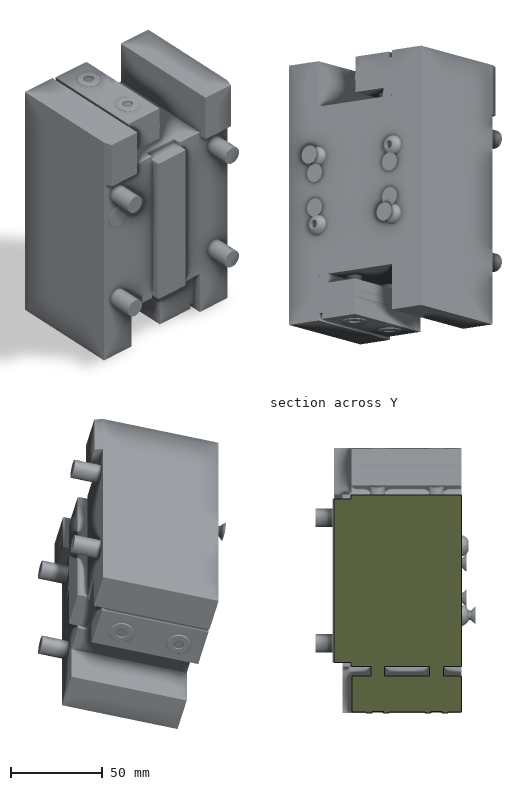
import cadquery as cq

BODY_HEIGHT = 144.5
BODY_WIDTH = 90.0
BODY_DEPTH = 65.0
SLOT_WIDTH = 49.8
SLOT_DEPTH = 25.3
SLOT_FLOOR = BODY_HEIGHT - SLOT_DEPTH
CENTRE_Z = BODY_HEIGHT / 2

PAD_DEPTH = 4.6
PAD_HEIGHT = 27.5
PAD_BEVEL = 1.6

KEY_WIDTH = 20.2
KEY_LENGTH = BODY_HEIGHT - 2 * PAD_HEIGHT
KEY_FRONT = 60.4
KEY_REAR = 70.3
KEY_BEVEL_DEPTH = 1.0
KEY_BEVEL_SIDE = 0.6

PIN_RADIUS = 5.0
PIN_SPACING_Y = 70.8
PIN_SPACING_Z = 68.6
PIN_END = 79.7
PIN_SUNK_LENGTH = 7.2
PIN_START = BODY_DEPTH - PIN_SUNK_LENGTH

CLAMP_LENGTH = 60.0
CLAMP_TOP = 143.9
CLAMP_UNDERSIDE = 124.1
CLAMP_INNER_Y = -0.1
CLAMP_OUTER_Y = -22.7
CLAMP_FOOT_Y = -18.5
CLAMP_GROOVE_FLOOR = 140.5
CLAMP_GROOVE_TAPER = 0.5
CLAMP_FOOT_TAPER = 0.9
CLAMP_FOOT_CHAMFER = 1.0
RIDGE_DEPTH = 0.3
RIDGE_HEIGHT = 3.3
RIDGE_CENTRE_Z = 132.3
CLAMP_SCREW_XS = (13.7, 45.8)
CLAMP_SCREW_Y = -10.7
CLAMP_SCREW_RADIUS = 4.0
CLAMP_HEAD_RADIUS = 6.5
CLAMP_HEAD_CHAMFER = 0.5
CLAMP_SOCKET_RADIUS = 3.0
CLAMP_SOCKET_DEPTH = 0.9

SCREW_SPACING_Y = 51.0
SCREW_SPACING_Z = 38.0
DOME_RADIUS = 5.8
DOME_HEIGHT = 3.8
DOME_TOP_RADIUS = 2.9
DOME_BULGE = 0.5
DOME_SOCKET_RADIUS = 2.2
DOME_SOCKET_DEPTH = 2.9
CONE_RADIUS = 5.0
CONE_HEIGHT = 2.6
NECK_RADIUS = 2.6
SCREW_CONE_END = 7.8
PLAIN_CONE_END = 2.9
PLAIN_CONE_SPACING_Z = 19.2

ANCHOR = 1.5

DISC_RADIUS = 6.0
DISC_HEIGHT = 0.5


def box(x_range, y_range, z_range):
    """Axis-aligned box given by its limits on each axis."""
    size = [high - low for low, high in (x_range, y_range, z_range)]
    low_corner = (x_range[0], y_range[0], z_range[0])
    return cq.Workplane("XY").box(*size, centered=False).translate(low_corner)


def rod_x(radius, start, end, y, z):
    """Cylinder along X from start to end."""
    return cq.Workplane("YZ", origin=(start, y, z)).circle(radius).extrude(end - start)


def half_turn(shape):
    """Copy turned half a turn about the X axis through the body centre."""
    return shape.rotate((0, 0, CENTRE_Z), (1, 0, CENTRE_Z), 180)


def make_body():
    half_width = BODY_WIDTH / 2
    half_slot = SLOT_WIDTH / 2
    body = box((0, BODY_DEPTH), (-half_width, half_width), (0, BODY_HEIGHT))
    for z_range in ((0, SLOT_DEPTH), (SLOT_FLOOR, BODY_HEIGHT)):
        body = body.cut(box((0, BODY_DEPTH), (-half_slot, half_slot), z_range))
    keyway = box((KEY_FRONT, BODY_DEPTH), (-KEY_WIDTH / 2, KEY_WIDTH / 2), (0, BODY_HEIGHT))
    return body.cut(keyway)


def make_pad():
    """Pad behind the +Y leg, bevelled on its outer side."""
    outer = BODY_WIDTH / 2
    inner = SLOT_WIDTH / 2
    rear = BODY_DEPTH + PAD_DEPTH
    outline = [
        (BODY_DEPTH, inner),
        (rear, inner),
        (rear, outer - PAD_BEVEL),
        (BODY_DEPTH, outer),
    ]
    base = cq.Workplane("XY", origin=(0, 0, BODY_HEIGHT - PAD_HEIGHT))
    return base.polyline(outline).close().extrude(PAD_HEIGHT)


def make_key():
    """Key with its two long rear edges bevelled."""
    half = KEY_WIDTH / 2
    shoulder = KEY_REAR - KEY_BEVEL_DEPTH
    outline = [
        (KEY_FRONT, -half),
        (shoulder, -half),
        (KEY_REAR, KEY_BEVEL_SIDE - half),
        (KEY_REAR, half - KEY_BEVEL_SIDE),
        (shoulder, half),
        (KEY_FRONT, half),
    ]
    base = cq.Workplane("XY", origin=(0, 0, PAD_HEIGHT))
    return base.polyline(outline).close().extrude(KEY_LENGTH)


def make_clamp():
    """Upper clamp: overhanging jaw on a tapered foot against the -Y leg."""
    wall = -SLOT_WIDTH / 2
    outline = [
        (CLAMP_INNER_Y, CLAMP_TOP),
        (CLAMP_INNER_Y, CLAMP_UNDERSIDE),
        (CLAMP_FOOT_Y - CLAMP_FOOT_TAPER, CLAMP_UNDERSIDE),
        (CLAMP_FOOT_Y, SLOT_FLOOR),
        (wall + CLAMP_FOOT_CHAMFER, SLOT_FLOOR),
        (wall, SLOT_FLOOR + CLAMP_FOOT_CHAMFER),
        (wall, CLAMP_GROOVE_FLOOR),
        (CLAMP_OUTER_Y + CLAMP_GROOVE_TAPER, CLAMP_GROOVE_FLOOR),
        (CLAMP_OUTER_Y, CLAMP_TOP),
    ]
    clamp = cq.Workplane("YZ").polyline(outline).close().extrude(CLAMP_LENGTH)
    ridge_low = RIDGE_CENTRE_Z - RIDGE_HEIGHT / 2
    ridge = box(
        (0, CLAMP_LENGTH),
        (CLAMP_INNER_Y, CLAMP_INNER_Y + RIDGE_DEPTH),
        (ridge_low, ridge_low + RIDGE_HEIGHT),
    )
    clamp = clamp.union(ridge)
    for x in CLAMP_SCREW_XS:
        shank = (
            cq.Workplane("XY", origin=(x, CLAMP_SCREW_Y, SLOT_FLOOR - ANCHOR))
            .circle(CLAMP_SCREW_RADIUS)
            .extrude(CLAMP_UNDERSIDE - SLOT_FLOOR + 2 * ANCHOR)
        )
        head = (
            cq.Workplane("XY", origin=(x, CLAMP_SCREW_Y, CLAMP_TOP - ANCHOR))
            .circle(CLAMP_HEAD_RADIUS)
            .extrude(BODY_HEIGHT - CLAMP_TOP + ANCHOR)
            .faces(">Z")
            .chamfer(CLAMP_HEAD_CHAMFER)
        )
        socket = (
            cq.Workplane("XY", origin=(x, CLAMP_SCREW_Y, BODY_HEIGHT - CLAMP_SOCKET_DEPTH))
            .circle(CLAMP_SOCKET_RADIUS)
            .extrude(CLAMP_SOCKET_DEPTH)
        )
        clamp = clamp.union(shank).union(head).cut(socket)
    return clamp


def make_dome(y, z):
    """Domed screw head standing on the front face, with a flat top."""
    middle_radius = (DOME_RADIUS + DOME_TOP_RADIUS) / 2 + DOME_BULGE
    middle_x = -DOME_HEIGHT / 2 - DOME_BULGE
    profile = (
        cq.Workplane("XY")
        .moveTo(ANCHOR, 0)
        .lineTo(ANCHOR, DOME_RADIUS)
        .lineTo(0, DOME_RADIUS)
        .threePointArc((middle_x, middle_radius), (-DOME_HEIGHT, DOME_TOP_RADIUS))
        .lineTo(-DOME_HEIGHT, 0)
        .close()
    )
    return profile.revolve(360, (0, 0, 0), (1, 0, 0)).translate((0, y, z))


def make_cone(end, y, z):
    """Cone on a neck, widest at its free end in front of the body."""
    outline = [
        (ANCHOR, 0),
        (ANCHOR, NECK_RADIUS),
        (CONE_HEIGHT - end, NECK_RADIUS),
        (-end, CONE_RADIUS),
        (-end, 0),
    ]
    profile = cq.Workplane("XY").polyline(outline).close()
    return profile.revolve(360, (0, 0, 0), (1, 0, 0)).translate((0, y, z))


def make_front_fittings(body):
    """Four domed screws, two of them coned and two with sockets, and four plain cones."""
    for side_y in (-1, 1):
        y = side_y * SCREW_SPACING_Y / 2
        for side_z in (-1, 1):
            z = CENTRE_Z + side_z * SCREW_SPACING_Z / 2
            body = body.union(make_dome(y, z))
            if side_y == side_z:
                body = body.union(make_cone(SCREW_CONE_END, y, z))
            else:
                socket_floor = DOME_SOCKET_DEPTH - DOME_HEIGHT
                body = body.cut(rod_x(DOME_SOCKET_RADIUS, -DOME_HEIGHT, socket_floor, y, z))
            cone_z = CENTRE_Z + side_z * PLAIN_CONE_SPACING_Z / 2
            body = body.union(make_cone(PLAIN_CONE_END, y, cone_z))
    return body


def make_pins(body):
    for side_y in (-1, 1):
        for side_z in (-1, 1):
            y = side_y * PIN_SPACING_Y / 2
            z = CENTRE_Z + side_z * PIN_SPACING_Z / 2
            body = body.union(rod_x(PIN_RADIUS, PIN_START, PIN_END, y, z))
    return body


def make_disc():
    y = -PIN_SPACING_Y / 2
    z = CENTRE_Z + SCREW_SPACING_Z / 2
    return rod_x(DISC_RADIUS, BODY_DEPTH - ANCHOR, BODY_DEPTH + DISC_HEIGHT, y, z)


pad = make_pad()
clamp = make_clamp()
result = make_body().union(pad).union(pad.mirror("XZ")).union(make_key())
result = result.union(clamp).union(half_turn(clamp))
result = make_front_fittings(result)
result = make_pins(result)
result = result.union(make_disc())